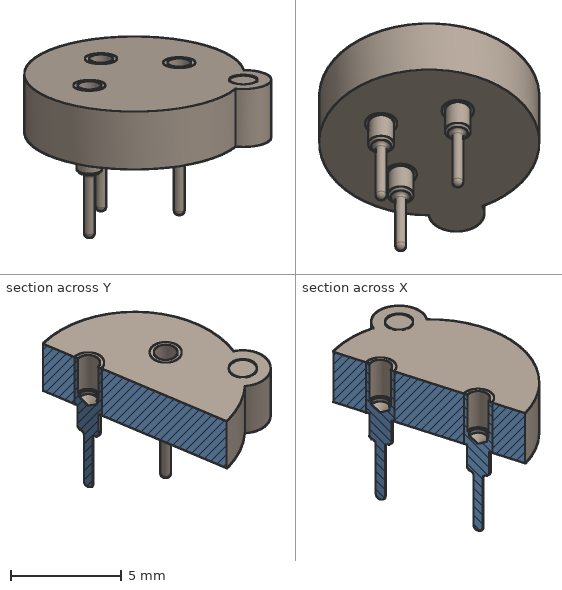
import cadquery as cq
import math

disc_radius = 5.0
housing_height = 2.8
tab_radius = 1.27
tab_angle = 45.0
mark_radius = 0.64
mark_depth = 0.05

pin_circle_radius = 2.54
pin_angles = (90, 180, 270)
overall_height = 7.37

head_radius = 0.73
barrel_diameter = 1.17
barrel_radius = barrel_diameter / 2
barrel_length = 1.25
chamfer = 0.13
neck_fillet = 0.17
shank_radius = 0.25

socket_radius = 0.54
bore_radius = 0.46
socket_depth = 2.0
bore_length = 0.2
drill_point_angle = 118.0

tip_z = housing_height - overall_height
barrel_bottom_z = -barrel_length
shoulder_z = barrel_bottom_z - chamfer
socket_floor_z = housing_height - socket_depth
drill_slope = 1 / math.tan(math.radians(drill_point_angle / 2))
bore_top_z = socket_floor_z - (socket_radius - bore_radius) * drill_slope
bore_bottom_z = bore_top_z - bore_length
bore_tip_z = bore_bottom_z - bore_radius * drill_slope


def polar_point(radius, angle):
    """Point in the XY plane at a radius and an angle in degrees."""
    return (radius * math.cos(math.radians(angle)), radius * math.sin(math.radians(angle)))


pin_places = [polar_point(pin_circle_radius, angle) for angle in pin_angles]
tab_centre = polar_point(disc_radius, tab_angle)


def make_housing():
    """Disc and tab at full height, with through holes for the pins and a shallow round mark."""
    disc = cq.Workplane("XY").circle(disc_radius).extrude(housing_height)
    tab = cq.Workplane("XY").center(*tab_centre).circle(tab_radius).extrude(housing_height)
    pin_holes = cq.Workplane("XY").pushPoints(pin_places).circle(head_radius).extrude(housing_height)
    mark = (
        cq.Workplane("XY", origin=(0, 0, housing_height))
        .center(*tab_centre)
        .circle(mark_radius)
        .extrude(-mark_depth)
    )
    return disc.union(tab).cut(pin_holes).cut(mark)


def make_pin(place):
    """Turned pin: socketed head, barrel, chamfered shoulder, filleted neck and round-ended shank."""
    arc_middle = math.sqrt(0.5)
    tip_centre_z = tip_z + shank_radius
    neck_radius = shank_radius + neck_fillet
    neck_bottom_z = shoulder_z - neck_fillet
    neck_middle = (neck_radius - neck_fillet * arc_middle, neck_bottom_z + neck_fillet * arc_middle)
    tip_middle = (shank_radius * arc_middle, tip_centre_z - shank_radius * arc_middle)
    profile = (
        cq.Workplane("XZ")
        .moveTo(0, bore_tip_z)
        .lineTo(bore_radius, bore_bottom_z)
        .lineTo(bore_radius, bore_top_z)
        .lineTo(socket_radius, socket_floor_z)
        .lineTo(socket_radius, housing_height)
        .lineTo(head_radius, housing_height)
        .lineTo(head_radius, 0)
        .lineTo(barrel_radius, 0)
        .lineTo(barrel_radius, barrel_bottom_z)
        .lineTo(barrel_radius - chamfer, shoulder_z)
        .lineTo(neck_radius, shoulder_z)
        .threePointArc(neck_middle, (shank_radius, neck_bottom_z))
        .lineTo(shank_radius, tip_centre_z)
        .threePointArc(tip_middle, (0, tip_z))
        .close()
    )
    return profile.revolve(360, (0, 0, 0), (0, 1, 0)).translate((*place, 0))


housing = make_housing()
pins = [make_pin(place) for place in pin_places]

result = cq.Compound.makeCompound([housing.val(), *[pin.val() for pin in pins]])